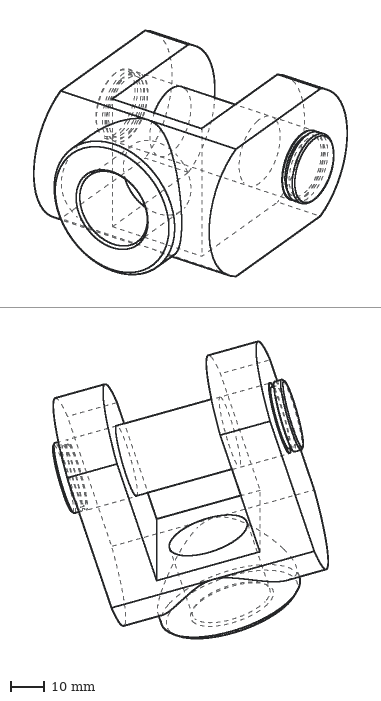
import cadquery as cq
import math


clevis_width = 64.0
clevis_height = 44.0
end_radius = 24.0
end_center_spacing = 26.0
slot_width = 32.55
slot_floor_distance = 31.0

boss_diameter = clevis_height
boss_length = 5.0
boss_chamfer = 1.3
bore_diameter = 24.65
bore_chamfer = 0.8

pin_diameter = 22.05
pin_length = 72.6
pin_chamfer = 0.55
pin_head_length = 2.7
groove_width = 1.4
groove_diameter = 19.35

half_height = clevis_height / 2
flat_overhang = math.sqrt(end_radius**2 - half_height**2)
front_center_y = -end_center_spacing
clevis_front_y = front_center_y - end_radius
boss_face_y = clevis_front_y - boss_length
slot_floor_y = -slot_floor_distance


def cylinder_along_x(diameter, length, center_x=0):
    """Cylinder on the pin axis, centered at center_x."""
    return (
        cq.Workplane("YZ", origin=(center_x - length / 2, 0, 0))
        .circle(diameter / 2)
        .extrude(length)
    )


def make_clevis_blank():
    """Block with flat top and bottom and a round arc at each end."""
    back_flat_y = flat_overhang
    front_flat_y = front_center_y - flat_overhang
    return (
        cq.Workplane("YZ", origin=(-clevis_width / 2, 0, 0))
        .moveTo(front_flat_y, half_height)
        .lineTo(back_flat_y, half_height)
        .threePointArc((end_radius, 0), (back_flat_y, -half_height))
        .lineTo(front_flat_y, -half_height)
        .threePointArc((clevis_front_y, 0), (front_flat_y, half_height))
        .close()
        .extrude(clevis_width)
    )


def make_boss():
    """Round boss from the slot floor to the front face, chamfered at the front."""
    return (
        cq.Workplane("XZ", origin=(0, slot_floor_y, 0))
        .circle(boss_diameter / 2)
        .extrude(slot_floor_y - boss_face_y)
        .faces("<Y")
        .chamfer(boss_chamfer)
    )


def make_slot():
    """Space between the two arms, open at the back, top and bottom."""
    slot_length = end_radius - slot_floor_y
    return (
        cq.Workplane("XY", origin=(0, slot_floor_y, 0))
        .box(slot_width, slot_length, clevis_height, centered=(True, False, True))
    )


def make_bore():
    """Bore from the boss face to the slot, with a chamfered mouth."""
    bore = (
        cq.Workplane("XZ", origin=(0, slot_floor_y, 0))
        .circle(bore_diameter / 2)
        .extrude(slot_floor_y - boss_face_y)
    )
    mouth_solid = cq.Solid.makeCone(
        bore_diameter / 2 + bore_chamfer,
        bore_diameter / 2,
        bore_chamfer,
        pnt=cq.Vector(0, boss_face_y, 0),
        dir=cq.Vector(0, 1, 0),
    )
    return bore.union(cq.Workplane(obj=mouth_solid))


def make_clevis():
    """Forked body with its front boss, bore and pin hole."""
    pin_hole = cylinder_along_x(pin_diameter, clevis_width)
    return make_clevis_blank().union(make_boss()).cut(make_slot()).cut(make_bore()).cut(pin_hole)


def make_pin():
    """Pin with chamfered ends and a retaining groove near each end."""
    pin = cylinder_along_x(pin_diameter, pin_length).faces("<X or >X").chamfer(pin_chamfer)
    groove_center_x = pin_length / 2 - pin_head_length - groove_width / 2
    for side in (-1, 1):
        groove = cylinder_along_x(pin_diameter, groove_width, side * groove_center_x).cut(
            cylinder_along_x(groove_diameter, groove_width, side * groove_center_x)
        )
        pin = pin.cut(groove)
    return pin


clevis = make_clevis()
pin = make_pin()

result = cq.Compound.makeCompound([clevis.solids().val(), pin.solids().val()])